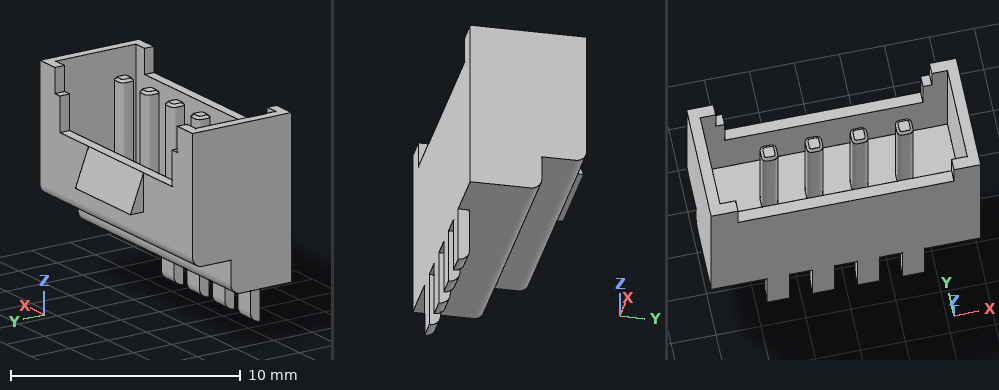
import cadquery as cq

length = 12.0
depth = 5.2
height = 7.8
wall = 0.5
half_length = length / 2

step_depth = 2.0
step_height = 1.61
corner_radius = 0.5

cavity_floor = step_height + wall

opening_margin = 1.2
opening_length = length - 2 * opening_margin
opening_depth = 1.2
back_ledge = 0.4
back_opening_length = opening_length - 2 * back_ledge
back_opening_depth = 2.88

latch_length = 4.32
latch_reach = 0.68
latch_height = 1.8
latch_top = height - back_opening_depth
latch_bottom = latch_top - latch_height

contact_count = 4
pitch = 2.0
pin_shift = 0.15
pin_width = 0.72
pin_corner = 0.22
pin_tip_chamfer = 0.12
pin_y = 2.69
pin_recess = 0.45
pin_top = height - pin_recess
tail_width = 1.0
tail_thickness = 0.5
tail_drop = 2.5
tail_radius = 0.48


def box(size_x, y_start, y_end, z_start, z_end):
    """Box centred on X and spanning the given Y and Z ranges."""
    plane = cq.Workplane("XY", origin=(0, y_start, z_start))
    return plane.box(size_x, y_end - y_start, z_end - z_start, centered=(True, False, False))


def make_housing():
    """Stepped shell with a rectangular cavity and openings in both long walls."""
    profile = [
        (0, 0),
        (depth - step_depth, 0),
        (depth - step_depth, step_height),
        (depth, step_height),
        (depth, height),
        (0, height),
    ]
    outline = cq.Workplane("YZ").polyline(profile).close()
    shell = outline.extrude(half_length, both=True)
    shell = shell.faces(">Y").edges("<Z").fillet(corner_radius)
    shell = shell.faces("<Z").edges(">Y").fillet(corner_radius)
    back_inside = depth - wall
    cavity = box(length - 2 * wall, wall, back_inside, cavity_floor, height)
    front_opening = box(opening_length, 0, wall, height - opening_depth, height)
    back_upper = box(opening_length, back_inside, depth, height - opening_depth, height)
    back_lower = box(back_opening_length, back_inside, depth, height - back_opening_depth, height)
    return shell.cut(cavity).cut(front_opening).cut(back_upper).cut(back_lower)


def make_latch():
    """Triangular ramp with a flat lower face."""
    profile = [(depth, latch_top), (depth + latch_reach, latch_bottom), (depth, latch_bottom)]
    return cq.Workplane("YZ").polyline(profile).close().extrude(latch_length / 2, both=True)


def make_pin(x):
    """Square pin with rounded corners and a chamfered tip, standing on the cavity floor."""
    pin = box(pin_width, pin_y - pin_width / 2, pin_y + pin_width / 2, cavity_floor, pin_top)
    pin = pin.edges("|Z").fillet(pin_corner).faces(">Z").chamfer(pin_tip_chamfer)
    return pin.translate((x, 0, 0))


def make_tail(x):
    """Flat solder tail, flush with the front face and rounded at its lower back edge."""
    tail = box(tail_width, 0, tail_thickness, -tail_drop, 0)
    return tail.faces("<Z").edges(">Y").fillet(tail_radius).translate((x, 0, 0))


result = make_housing().union(make_latch())
for index in range(contact_count):
    contact_x = (index - (contact_count - 1) / 2) * pitch
    result = result.union(make_pin(contact_x + pin_shift)).union(make_tail(contact_x))